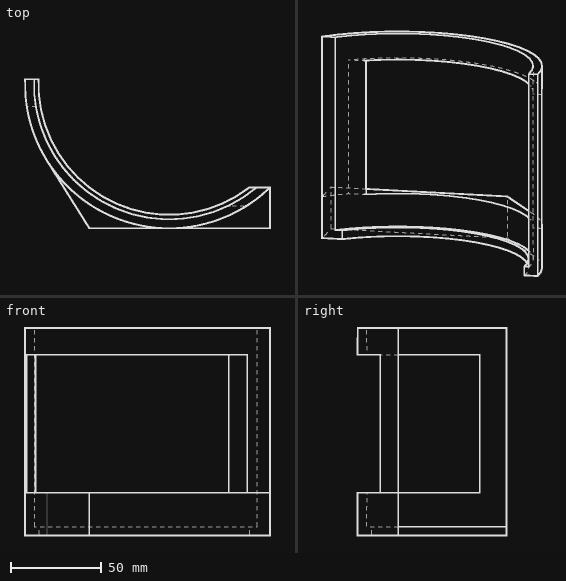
import cadquery as cq
import math

length = 135.7
height = 115.0
outer_radius = 80.0
wall = 5.0
inner_radius = outer_radius - wall
left_end_y = 2.7

right_x = length - outer_radius
right_end_y = -math.sqrt(outer_radius**2 - right_x**2)

base_height = 23.8
top_band = 14.9
left_post = 14.9
right_post = 10.0
base_corner_x = -44.2
lip_depth = 2.6
lip_height = 5.0


def arc_point(radius, y, side):
    """Point of a circle at the given y, on the left (-1) or right (+1) side."""
    return (side * math.sqrt(radius**2 - y**2), y)


def curved_wall(outside, inside, wall_height):
    """Arc-shaped wall whose two ends are cut parallel to X."""
    return (
        cq.Workplane("XY")
        .moveTo(*arc_point(outside, left_end_y, -1))
        .threePointArc((0, -outside), arc_point(outside, right_end_y, 1))
        .lineTo(*arc_point(inside, right_end_y, 1))
        .threePointArc((0, -inside), arc_point(inside, left_end_y, -1))
        .close()
        .extrude(wall_height)
    )


def base_block():
    """Flat-fronted block outside the wall, with its left face tangent to it."""
    tangent_angle = 2 * math.atan(-base_corner_x / outer_radius)
    tangent_point = (
        -outer_radius * math.sin(tangent_angle),
        -outer_radius * math.cos(tangent_angle),
    )
    middle_radius = (outer_radius + inner_radius) / 2
    inner_start = tuple(c * middle_radius / outer_radius for c in tangent_point)
    return (
        cq.Workplane("XY")
        .moveTo(*tangent_point)
        .lineTo(base_corner_x, -outer_radius)
        .lineTo(right_x, -outer_radius)
        .lineTo(right_x, right_end_y)
        .lineTo(*arc_point(middle_radius, right_end_y, 1))
        .threePointArc((0, -middle_radius), inner_start)
        .close()
        .extrude(base_height)
    )


def window():
    """Opening above the base, with both side faces parallel to X."""
    left_face_y = left_end_y - left_post
    right_face_y = right_end_y - right_post
    return (
        cq.Workplane("XY", origin=(0, 0, base_height))
        .moveTo(-outer_radius, left_face_y)
        .lineTo(0, left_face_y)
        .lineTo(0, right_face_y)
        .lineTo(right_x, right_face_y)
        .lineTo(right_x, -outer_radius)
        .lineTo(-outer_radius, -outer_radius)
        .close()
        .extrude(height - top_band - base_height)
    )


frame = curved_wall(outer_radius, inner_radius, height).cut(window())
lip = curved_wall(outer_radius, inner_radius - lip_depth, lip_height)
result = frame.union(base_block()).union(lip)